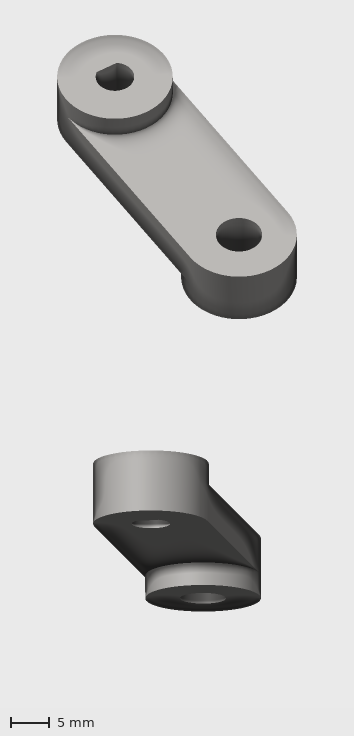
import cadquery as cq

length = 45.0
width = 15.0
height = 11.0

bar_thickness = 5.0
boss_projection = (height - bar_thickness) / 2
boss_height = bar_thickness + boss_projection
hole_spacing = length - width

pivot_hole_diameter = 6.0
d_hole_diameter = 5.0
d_flat_offset = 2.0

bar_bottom = -bar_thickness / 2
part_bottom = -height / 2
left_x = -hole_spacing / 2
right_x = hole_spacing / 2


def make_bar():
    """Flat bar running between the two boss axes."""
    return cq.Workplane("XY").box(hole_spacing, width, bar_thickness)


def make_boss(center_x, bottom):
    """Round boss that forms one rounded end of the link."""
    return (
        cq.Workplane("XY", origin=(center_x, 0, bottom))
        .circle(width / 2)
        .extrude(boss_height)
    )


def make_pivot_hole(center_x):
    """Cutter for the plain round through hole."""
    return (
        cq.Workplane("XY", origin=(center_x, 0, part_bottom))
        .circle(pivot_hole_diameter / 2)
        .extrude(height)
    )


def make_d_hole(center_x):
    """Cutter for the round through hole with a flat on its -X side."""
    radius = d_hole_diameter / 2
    flat_half_length = (radius**2 - d_flat_offset**2) ** 0.5
    return (
        cq.Workplane("XY", origin=(center_x, 0, part_bottom))
        .moveTo(-d_flat_offset, -flat_half_length)
        .threePointArc((radius, 0), (-d_flat_offset, flat_half_length))
        .close()
        .extrude(height)
    )


result = (
    make_bar()
    .union(make_boss(left_x, bar_bottom))
    .union(make_boss(right_x, part_bottom))
    .cut(make_d_hole(left_x))
    .cut(make_pivot_hole(right_x))
)